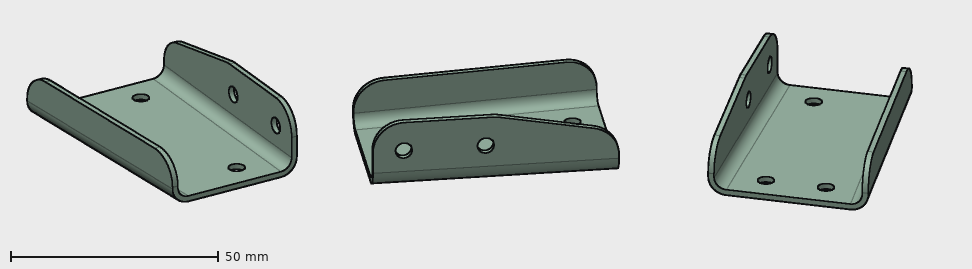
import cadquery as cq
import math

length = 60.0
wide_end = 40.0
narrow_end = 35.05
thickness = 1.5
inner_bend_radius = 3.0
outer_bend_radius = inner_bend_radius + thickness
corner_radius = 7.5
hole_diameter = 4.0

back_height = 17.5
back_left_height = 11.65
slope_end = 30.0
front_height = 12.5

hole_inset = 7.5
base_hole_depths = (12.5, 27.5)
flange_hole_spacing = 20.0
flange_hole_height = 10.0


def tapered_block(wall, bend_radius):
    """Tapered block inset by wall from the outer faces, with rounded lower long edges."""
    taper = math.atan2(wide_end - narrow_end, length)
    front_inset = wall / math.cos(taper)
    outline = [
        (0, -wall),
        (length, -wall),
        (length, front_inset - narrow_end),
        (0, front_inset - wide_end),
    ]
    block = cq.Workplane("XY", origin=(0, 0, wall)).polyline(outline).close().extrude(back_height)
    return block.faces("<Z").edges("not(|Y)").fillet(bend_radius)


def flange_limit(outline, corners, y_start, y_end):
    """Side outline with rounded corners, spanning y_start to y_end."""
    plate = cq.Workplane("XZ", origin=(0, y_end, 0)).polyline(outline).close().extrude(y_end - y_start)
    for x, z in corners:
        corner = cq.selectors.BoxSelector((x - 0.6, y_start - 0.6, z - 0.6), (x + 0.6, y_end + 0.6, z + 0.6))
        plate = plate.edges(corner).fillet(corner_radius)
    return plate


channel = tapered_block(0, outer_bend_radius).cut(tapered_block(thickness, inner_bend_radius))

split_y = -narrow_end / 2
back_top = [(length, back_height), (slope_end, back_height), (0, back_left_height)]
front_top = [(length, front_height), (0, front_height)]
bottom = [(0, 0), (length, 0)]
back_limit = flange_limit(bottom + back_top, back_top, split_y, 0)
front_limit = flange_limit(bottom + front_top, front_top, -wide_end, split_y)
bracket = channel.intersect(back_limit.union(front_limit))

near_back, near_front = base_hole_depths
base_holes = (
    cq.Workplane("XY")
    .pushPoints([
        (hole_inset, -near_back),
        (hole_inset, -near_front),
        (length - hole_inset, -near_back),
    ])
    .circle(hole_diameter / 2)
    .extrude(thickness)
)

last_hole_x = length - hole_inset
flange_holes = (
    cq.Workplane("XZ")
    .pushPoints([(x, flange_hole_height) for x in (last_hole_x - flange_hole_spacing, last_hole_x)])
    .circle(hole_diameter / 2)
    .extrude(thickness)
)

result = bracket.cut(base_holes).cut(flange_holes)